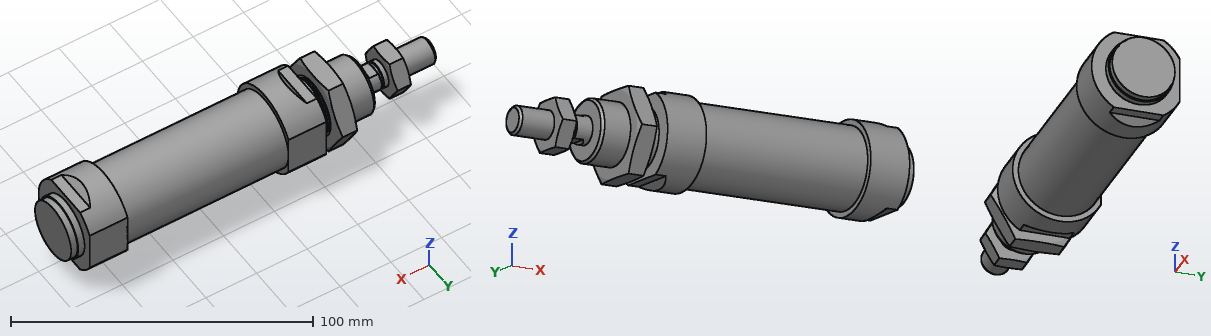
import cadquery as cq
import math


ROD_NUT_START = 13.2
THREAD_END = 21.0
NECK_END = 22.0
COLLAR_START = 28.0
MOUNT_NUT_START = 39.0
FRONT_CAP_START = 50.0
CAP_LENGTH = 15.0
REAR_CAP_END = 143.5
BACK_FACE = 148.5

FRONT_CAP_END = FRONT_CAP_START + CAP_LENGTH
REAR_CAP_START = REAR_CAP_END - CAP_LENGTH

ROD_DIAMETER = 10.0
ROD_TIP_DIAMETER = 8.35
ROD_TIP_LENGTH = 0.9
NECK_DIAMETER = 8.65
ROD_FLAT_WIDTH = 8.0
ROD_FLAT_LENGTH = 3.5

ROD_NUT_ACROSS_FLATS = 17.0
ROD_NUT_LENGTH = 6.0
MOUNT_NUT_ACROSS_FLATS = 30.0
MOUNT_NUT_LENGTH = 7.0
NUT_CHAMFER_ANGLE = 15.0

COLLAR_DIAMETER = 22.0
COLLAR_TIP_DIAMETER = 20.38
COLLAR_TIP_LENGTH = 1.0
UNDERCUT_DIAMETER = 20.3
UNDERCUT_START = MOUNT_NUT_START + MOUNT_NUT_LENGTH
UNDERCUT_END = 46.65
SHOULDER_START = 47.5

BARREL_DIAMETER = 29.0
CAP_DIAMETER = 33.0
CAP_FLAT_WIDTH = 28.0
CAP_FLAT_LENGTH = 4.0
REAR_COLLAR_DIAMETER = 23.0
REAR_COLLAR_END = 146.0
REAR_SPIGOT_DIAMETER = 22.0


def cylinder(start, end, diameter):
    """Round bar along X from start to end."""
    return cq.Workplane("YZ", origin=(start, 0, 0)).circle(diameter / 2).extrude(end - start)


def turned(*stations):
    """Body turned about X through (x, diameter) stations."""
    profile = [(stations[0][0], 0)]
    profile += [(x, diameter / 2) for x, diameter in stations]
    profile.append((stations[-1][0], 0))
    return cq.Workplane("XY").polyline(profile).close().revolve(360, (0, 0, 0), (1, 0, 0))


def wrench_flats(end, direction, flat_width, flat_length, diameter):
    """Material above and below two flats that run from `end` along `direction` and rise at 45 degrees."""
    radius = diameter / 2
    half_width = flat_width / 2
    flat_end = end + direction * flat_length
    slope_end = flat_end + direction * (radius - half_width)
    upper = (
        cq.Workplane("XZ")
        .polyline([(end, half_width), (flat_end, half_width), (slope_end, radius), (end, radius)])
        .close()
        .extrude(radius, both=True)
    )
    return upper.union(upper.mirror("XY"))


def hex_nut(start, length, across_flats, bore):
    """Hexagon nut with corners along Y, both faces chamfered from a circle that touches the flats."""
    across_corners = across_flats / math.cos(math.radians(30))
    corner_drop = (across_corners - across_flats) / 2 * math.tan(math.radians(NUT_CHAMFER_ANGLE))
    end = start + length
    blank = cq.Workplane("YZ", origin=(start, 0, 0)).polygon(6, across_corners).extrude(length)
    envelope = turned(
        (start, across_flats),
        (start + corner_drop, across_corners),
        (end - corner_drop, across_corners),
        (end, across_flats),
    )
    return blank.intersect(envelope).cut(cylinder(start, end, bore))


def piston_rod():
    """Threaded rod with a chamfered tip, a neck behind the thread and two wrench flats near the collar."""
    rod = turned(
        (0, ROD_TIP_DIAMETER),
        (ROD_TIP_LENGTH, ROD_DIAMETER),
        (THREAD_END, ROD_DIAMETER),
        (THREAD_END, NECK_DIAMETER),
        (NECK_END, NECK_DIAMETER),
        (NECK_END, ROD_DIAMETER),
        (COLLAR_START, ROD_DIAMETER),
    )
    return rod.cut(wrench_flats(NECK_END, 1, ROD_FLAT_WIDTH, ROD_FLAT_LENGTH, ROD_DIAMETER))


def cap_block(start, end):
    """Round cap with its +Y side cut flat, level with the barrel."""
    side_cut = (CAP_DIAMETER - BARREL_DIAMETER) / 2
    beyond_flat = cq.Workplane("XY").box(
        end - start, side_cut, CAP_DIAMETER, centered=(False, False, True)
    ).translate((start, BARREL_DIAMETER / 2, 0))
    return cylinder(start, end, CAP_DIAMETER).cut(beyond_flat)


def front_cap():
    """Front cap with flats at its front end and a threaded collar for the mounting nut."""
    collar = turned(
        (COLLAR_START, COLLAR_TIP_DIAMETER),
        (COLLAR_START + COLLAR_TIP_LENGTH, COLLAR_DIAMETER),
        (UNDERCUT_START, COLLAR_DIAMETER),
        (UNDERCUT_START, UNDERCUT_DIAMETER),
        (UNDERCUT_END, UNDERCUT_DIAMETER),
        (SHOULDER_START, COLLAR_DIAMETER),
        (FRONT_CAP_START, COLLAR_DIAMETER),
    )
    block = cap_block(FRONT_CAP_START, FRONT_CAP_END)
    flats = wrench_flats(FRONT_CAP_START, 1, CAP_FLAT_WIDTH, CAP_FLAT_LENGTH, CAP_DIAMETER)
    return block.cut(flats).union(collar)


def rear_cap():
    """Rear cap with flats at its back end and a stepped spigot."""
    block = cap_block(REAR_CAP_START, REAR_CAP_END)
    flats = wrench_flats(REAR_CAP_END, -1, CAP_FLAT_WIDTH, CAP_FLAT_LENGTH, CAP_DIAMETER)
    spigot = turned(
        (REAR_CAP_END, REAR_COLLAR_DIAMETER),
        (REAR_COLLAR_END, REAR_COLLAR_DIAMETER),
        (REAR_COLLAR_END, REAR_SPIGOT_DIAMETER),
        (BACK_FACE, REAR_SPIGOT_DIAMETER),
    )
    return block.cut(flats).union(spigot)


rod = piston_rod()
rod_nut = hex_nut(ROD_NUT_START, ROD_NUT_LENGTH, ROD_NUT_ACROSS_FLATS, ROD_DIAMETER)
mount_nut = hex_nut(MOUNT_NUT_START, MOUNT_NUT_LENGTH, MOUNT_NUT_ACROSS_FLATS, COLLAR_DIAMETER)
front = front_cap()
barrel = cylinder(FRONT_CAP_END, REAR_CAP_START, BARREL_DIAMETER)
rear = rear_cap()

result = cq.Compound.makeCompound(
    [rod.val(), rod_nut.val(), mount_nut.val(), front.val(), barrel.val(), rear.val()]
)